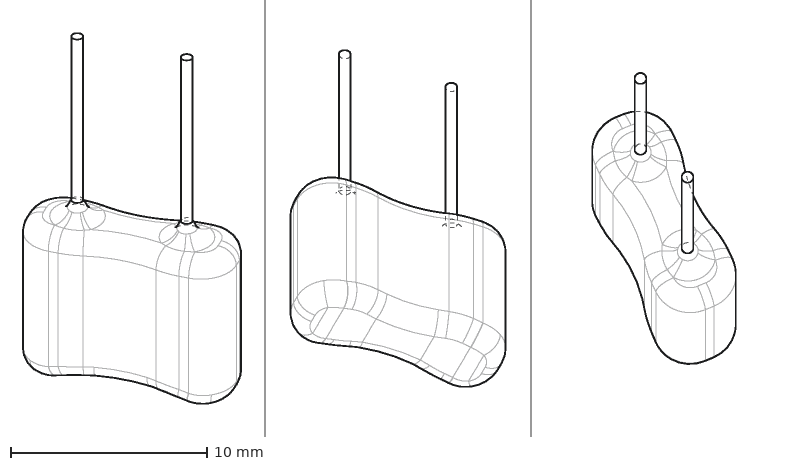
import cadquery as cq
import math

body_length = 11.4
body_depth = 4.3
body_height = 9.1
edge_radius = 0.98
corner_radius = 1.9

waist_depth = 0.42
waist_half_length = 3.25
waist_bend_x = 1.97

hollow_depth = 0.36
hollow_half_length = 4.32
hollow_bend_x = 3.52
hollow_flat_half_length = 1.6

total_height = 20.1
lead_spacing = 5.9
lead_radius = 0.3
collar_height = 0.98
collar_base_radius = 0.8
collar_blend_radius = 1.0

half_length = body_length / 2
half_depth = body_depth / 2


def add_dip(sketch, level, side, depth, half_span, bend, flat_half=0):
    """Draw a smooth dip from left to right; side is the direction out of the material.

    Concave arcs run from the middle (or its flat) to the bends, where tangent
    convex shoulder arcs take over and end level with the surrounding edge.
    """
    slope_angle = 2 * math.atan(depth / (half_span - flat_half))
    floor_radius = (bend - flat_half) / math.sin(slope_angle)
    shoulder_radius = (half_span - bend) / math.sin(slope_angle)

    def arc_rise(radius, run):
        return radius - math.sqrt(radius**2 - run**2)

    def point(x):
        distance = abs(x)
        if distance < bend:
            drop = depth - arc_rise(floor_radius, max(distance - flat_half, 0))
        else:
            drop = arc_rise(shoulder_radius, half_span - distance)
        return (x, level - side * drop)

    shoulder_middle = (half_span + bend) / 2
    floor_arc_middle = (flat_half + bend) / 2
    sketch = sketch.lineTo(*point(-half_span)).threePointArc(point(-shoulder_middle), point(-bend))
    if flat_half > 0:
        sketch = sketch.threePointArc(point(-floor_arc_middle), point(-flat_half))
        sketch = sketch.lineTo(*point(flat_half))
        sketch = sketch.threePointArc(point(floor_arc_middle), point(bend))
    else:
        sketch = sketch.threePointArc(point(0), point(bend))
    return sketch.threePointArc(point(shoulder_middle), point(half_span))


def make_body():
    """Waisted block with a hollow underside and rounded edges all round."""
    half_plan = cq.Workplane("XY").moveTo(-half_length, 0).lineTo(-half_length, half_depth)
    half_plan = add_dip(half_plan, half_depth, 1, waist_depth, waist_half_length, waist_bend_x)
    half_plan = half_plan.lineTo(half_length, half_depth).lineTo(half_length, 0).close()
    half_block = half_plan.extrude(body_height)
    block = half_block.union(half_block.mirror("XZ")).clean()
    block = block.edges("|Z and (<X or >X)").fillet(corner_radius)

    side_outline = cq.Workplane("XZ").moveTo(-half_length, 0)
    side_outline = add_dip(
        side_outline, 0, -1, hollow_depth, hollow_half_length, hollow_bend_x, hollow_flat_half_length
    )
    side_outline = (
        side_outline.lineTo(half_length, 0)
        .lineTo(half_length, body_height)
        .lineTo(-half_length, body_height)
        .close()
    )
    block = block.intersect(side_outline.extrude(half_depth, both=True))
    return block.edges("not |Z").edges("not |Y").fillet(edge_radius)


def make_lead(x):
    """Round lead standing on a tapered collar."""
    return (
        cq.Workplane("XZ", origin=(x, 0, 0))
        .moveTo(0, body_height - edge_radius)
        .lineTo(collar_base_radius, body_height - edge_radius)
        .lineTo(collar_base_radius, body_height)
        .lineTo(lead_radius, body_height + collar_height)
        .lineTo(lead_radius, total_height)
        .lineTo(0, total_height)
        .close()
        .revolve(360, (0, 0), (0, 1))
    )


result = make_body()
for lead_x in (-lead_spacing / 2, lead_spacing / 2):
    result = result.union(make_lead(lead_x))

search_margin = 0.02
collar_roots = cq.selectors.BoxSelector(
    (-half_length, -half_depth, body_height - search_margin),
    (half_length, half_depth, body_height + search_margin),
)
result = result.edges("%CIRCLE").edges(collar_roots).fillet(collar_blend_radius)